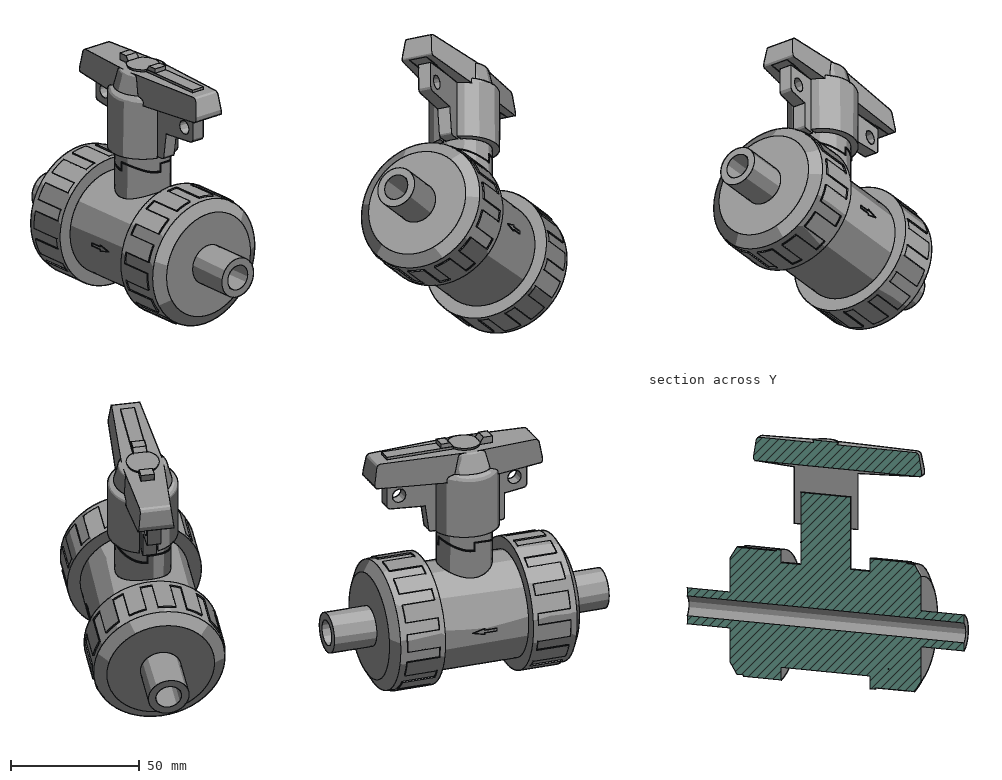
import cadquery as cq
import math


LENGTH = 115.0
HEIGHT = 100.2
PIPE_RADIUS = 8.0
BORE_RADIUS = 5.1
BODY_RADIUS = 42.9 / 2
NUT_RADIUS = 51.9 / 2
NUT_RIM_RADIUS = 53.0 / 2
NUT_FACE_RADIUS = 21.3
NUT_INNER_X = 18.4
SLOT_INNER_X = 20.6
RIM_OUTER_X = 34.2
NUT_CHAMFER_X = 36.9
NUT_OUTER_X = 39.8
GRIP_SLOTS = 14
GRIP_SLOT_ANGLE = 10.3
GRIP_SLOT_PHASE = -7.7

ARROW_RAISE = 0.3
ARROW_HALF_LENGTH = 5.1
ARROW_SHAFT_HALF_WIDTH = 0.6
ARROW_HEAD_HALF_WIDTH = 1.3

STEM_RADIUS = 10.9
STEM_TOP = 50.3
TEETH = 4
TOOTH_HIGH = 33.2
TOOTH_LOW = 29.8
GROOVE_WIDTH = 0.29
GROOVE_DEPTH = 0.3
CUT_CLEARANCE = 1.2

HUB_RADIUS = 13.8
HUB_BOTTOM = 37.3
HUB_SHOULDER_Z = 61.8
HUB_SHOULDER_FILLET = 2.0
CONE_BASE_RADIUS = 11.4
CONE_BASE_Z = 62.8
CONE_TOP_RADIUS = 9.4
CONE_FILLET = 1.4
HUB_SLOT_HALF_WIDTH = 3.7

BAR_TOP = 70.8
BAR_LEFT_TOP_X = -28.8
BAR_RIGHT_TOP_X = 38.6
BAR_END_LEAN = 1.3
BAR_LIP_Z = 63.2
BAR_END_BOTTOM = 61.1
BAR_MIDDLE_BOTTOM = 59.2
BAR_LEFT_HALF_WIDTH = 6.0
BAR_MIDDLE_HALF_WIDTH = 8.2
BAR_RIGHT_HALF_WIDTH = 5.5
BAR_DRAFT = 7.0
BAR_WEDGE_STRETCH = 1.2
BAR_TOP_FILLET = 1.8
BAR_BOTTOM_FILLET = 1.0

PLATE_HALF_WIDTH = 2.6
PLATE_LEFT_X = -25.2
PLATE_RIGHT_X = 33.5
PLATE_LEG_LEFT_X = -15.9
PLATE_LEG_RIGHT_X = 15.8
PLATE_STEP_RIGHT_X = 17.4
PLATE_STEP_Z = 48.4
PLATE_END_Z = 49.7
PLATE_CORNER_FILLET = 1.7
PLATE_LEG_FILLET = 1.2
HOLE_RADIUS = 2.8
HOLE_Z = 54.6
HOLE_INSET = 5.2

TOP_Z = HEIGHT - NUT_RIM_RADIUS
RAISED_Z = 71.9
DISC_TOP_RADIUS = 6.4
DISC_BOTTOM_RADIUS = 6.0
TAB_HALF_WIDTH = 2.6
TAB_FOOT_X = 5.6
TAB_CREST_X = 7.0
TAB_OUTER_X = 10.7
RAIL_HALF_WIDTH = 2.8


def x_cylinder(radius, x_start, x_end):
    return cq.Workplane("YZ").workplane(offset=x_start).circle(radius).extrude(x_end - x_start)


def xz_prism(points, half_width):
    return cq.Workplane("XZ").polyline(points).close().extrude(half_width, both=True)


def fillet_cross_edge(solid, x, z, radius):
    """Round the edge along Y that passes nearest to the given X and Z."""
    nearest = cq.selectors.NearestToPointSelector((x, 0, z))
    return solid.edges("|Y").edges(nearest).fillet(radius)


def left_nut():
    core_outline = [
        (-NUT_OUTER_X, 0),
        (-NUT_OUTER_X, NUT_FACE_RADIUS),
        (-NUT_CHAMFER_X, NUT_RADIUS),
        (-NUT_INNER_X, NUT_RADIUS),
        (-NUT_INNER_X, 0),
    ]
    core = cq.Workplane("XY").polyline(core_outline).close().revolve(360, (0, 0, 0), (1, 0, 0))
    rim = x_cylinder(NUT_RIM_RADIUS, -RIM_OUTER_X, -NUT_INNER_X)
    slot_length = 2 * (RIM_OUTER_X - SLOT_INNER_X)
    slot_width = 2 * NUT_RADIUS * math.sin(math.radians(GRIP_SLOT_ANGLE / 2))
    slot_depth = 2 * (NUT_RIM_RADIUS - NUT_FACE_RADIUS)
    slot = cq.Workplane("XY").box(slot_length, slot_depth, slot_width)
    slot = slot.translate((-RIM_OUTER_X, -NUT_RIM_RADIUS, 0))
    for i in range(GRIP_SLOTS):
        angle = GRIP_SLOT_PHASE + i * 360 / GRIP_SLOTS
        rim = rim.cut(slot.rotate((0, 0, 0), (1, 0, 0), -angle))
    return core.union(rim)


def flow_arrows():
    outline = [
        (-ARROW_HALF_LENGTH, -ARROW_SHAFT_HALF_WIDTH),
        (0, -ARROW_SHAFT_HALF_WIDTH),
        (0, -ARROW_HEAD_HALF_WIDTH),
        (ARROW_HALF_LENGTH, 0),
        (0, ARROW_HEAD_HALF_WIDTH),
        (0, ARROW_SHAFT_HALF_WIDTH),
        (-ARROW_HALF_LENGTH, ARROW_SHAFT_HALF_WIDTH),
    ]
    skin = x_cylinder(BODY_RADIUS + ARROW_RAISE, -NUT_INNER_X, NUT_INNER_X)
    return xz_prism(outline, NUT_RADIUS).intersect(skin)


def parting_groove():
    """One quarter turn: a step on the -Y side, then a curve falling towards +X."""
    half = GROOVE_WIDTH / 2
    drop = TOOTH_HIGH - TOOTH_LOW
    reach = STEM_RADIUS
    arc_radius = (reach ** 2 + drop ** 2) / (2 * drop)
    mid_z = TOOTH_HIGH - arc_radius + math.sqrt(arc_radius ** 2 - (reach / 2) ** 2)
    curve = (
        cq.Workplane("XZ")
        .moveTo(0, TOOTH_HIGH - half)
        .threePointArc((reach / 2, mid_z - half), (reach, TOOTH_LOW - half))
        .lineTo(reach, TOOTH_LOW + half)
        .threePointArc((reach / 2, mid_z + half), (0, TOOTH_HIGH + half))
        .close()
        .extrude(reach)
    )
    step = (
        cq.Workplane("XZ")
        .center(0, (TOOTH_HIGH + TOOTH_LOW) / 2)
        .rect(GROOVE_WIDTH, drop + GROOVE_WIDTH)
        .extrude(reach)
    )
    ring = (
        cq.Workplane("XY")
        .workplane(offset=TOOTH_LOW - CUT_CLEARANCE)
        .circle(STEM_RADIUS + CUT_CLEARANCE)
        .circle(STEM_RADIUS - GROOVE_DEPTH)
        .extrude(drop + 2 * CUT_CLEARANCE)
    )
    return curve.union(step).intersect(ring)


def stem():
    column = cq.Workplane("XY").circle(STEM_RADIUS).extrude(STEM_TOP)
    groove = parting_groove()
    for i in range(TEETH):
        column = column.cut(groove.rotate((0, 0, 0), (0, 0, 1), i * 360 / TEETH))
    return column


def hub():
    outline = [
        (0, HUB_BOTTOM),
        (HUB_RADIUS, HUB_BOTTOM),
        (HUB_RADIUS, HUB_SHOULDER_Z),
        (CONE_BASE_RADIUS, CONE_BASE_Z),
        (CONE_TOP_RADIUS, BAR_TOP),
        (0, BAR_TOP),
    ]
    body = cq.Workplane("XZ").polyline(outline).close().revolve(360, (0, 0, 0), (0, 1, 0))
    body = body.edges("%CIRCLE").edges(">>Z[-3]").fillet(HUB_SHOULDER_FILLET)
    return body.faces(">Z").edges().fillet(CONE_FILLET)


def wedge_end(end_x, end_half_width):
    """Corner on the side line from the bar's middle, carried beyond the bar's end."""
    narrowing = BAR_MIDDLE_HALF_WIDTH - end_half_width
    return end_x * BAR_WEDGE_STRETCH, BAR_MIDDLE_HALF_WIDTH - narrowing * BAR_WEDGE_STRETCH


def bar():
    left_x = BAR_LEFT_TOP_X - BAR_END_LEAN
    right_x = BAR_RIGHT_TOP_X + BAR_END_LEAN
    side_outline = [
        (BAR_LEFT_TOP_X, BAR_TOP),
        (BAR_RIGHT_TOP_X, BAR_TOP),
        (right_x, BAR_LIP_Z),
        (right_x, BAR_END_BOTTOM),
        (0, BAR_MIDDLE_BOTTOM),
        (left_x, BAR_END_BOTTOM),
        (left_x, BAR_LIP_Z),
    ]
    block = xz_prism(side_outline, 2 * BAR_MIDDLE_HALF_WIDTH)
    block = block.edges("|Y and >Z").fillet(BAR_TOP_FILLET)
    for x in (left_x, right_x):
        block = fillet_cross_edge(block, x, BAR_END_BOTTOM, BAR_BOTTOM_FILLET)
    left_end = wedge_end(BAR_LEFT_TOP_X, BAR_LEFT_HALF_WIDTH)
    right_end = wedge_end(BAR_RIGHT_TOP_X, BAR_RIGHT_HALF_WIDTH)
    plan = [
        left_end,
        (0, BAR_MIDDLE_HALF_WIDTH),
        right_end,
        (right_end[0], -right_end[1]),
        (0, -BAR_MIDDLE_HALF_WIDTH),
        (left_end[0], -left_end[1]),
    ]
    wedge = (
        cq.Workplane("XY", origin=(0, 0, BAR_TOP))
        .polyline(plan)
        .close()
        .extrude(BAR_MIDDLE_BOTTOM - BAR_TOP, taper=-BAR_DRAFT)
    )
    return block.intersect(wedge)


def web_plate():
    outline = [
        (PLATE_LEFT_X, BAR_END_BOTTOM),
        (PLATE_LEFT_X, PLATE_END_Z),
        (PLATE_LEG_LEFT_X, PLATE_STEP_Z),
        (PLATE_LEG_LEFT_X, HUB_BOTTOM),
        (PLATE_LEG_RIGHT_X, HUB_BOTTOM),
        (PLATE_STEP_RIGHT_X, PLATE_STEP_Z),
        (PLATE_RIGHT_X, PLATE_END_Z),
        (PLATE_RIGHT_X, BAR_END_BOTTOM),
    ]
    plate = xz_prism(outline, PLATE_HALF_WIDTH)
    plate = plate.edges("|Y and <Z").fillet(PLATE_LEG_FILLET)
    for x in (PLATE_LEFT_X, PLATE_RIGHT_X):
        plate = fillet_cross_edge(plate, x, PLATE_END_Z, PLATE_CORNER_FILLET)
    holes = (
        cq.Workplane("XZ")
        .pushPoints([(PLATE_LEFT_X + HOLE_INSET, HOLE_Z), (PLATE_RIGHT_X - HOLE_INSET, HOLE_Z)])
        .circle(HOLE_RADIUS)
        .extrude(PLATE_HALF_WIDTH, both=True)
    )
    return plate.cut(holes)


def handle():
    """Hub and bar, slotted lengthwise from below, with the web plate standing in the slot."""
    slot_length = 2 * LENGTH
    slot_height = BAR_END_BOTTOM - HUB_BOTTOM
    slot = cq.Workplane("XY").box(slot_length, 2 * HUB_SLOT_HALF_WIDTH, slot_height)
    slot = slot.translate((0, 0, HUB_BOTTOM + slot_height / 2))
    return hub().union(bar()).cut(slot).union(web_plate())


def top_details():
    disc = (
        cq.Workplane("XY", origin=(0, 0, BAR_TOP))
        .circle(DISC_BOTTOM_RADIUS)
        .workplane(offset=RAISED_Z - BAR_TOP)
        .circle(DISC_TOP_RADIUS)
        .loft()
    )
    tab_outline = [
        (TAB_FOOT_X, BAR_TOP),
        (TAB_FOOT_X, RAISED_Z),
        (TAB_CREST_X, TOP_Z),
        (TAB_OUTER_X, TOP_Z),
        (TAB_OUTER_X, BAR_TOP),
    ]
    tab = xz_prism(tab_outline, TAB_HALF_WIDTH)
    rail_outline = [
        (TAB_FOOT_X, BAR_TOP),
        (TAB_FOOT_X, RAISED_Z),
        (PLATE_RIGHT_X, RAISED_Z),
        (PLATE_RIGHT_X, BAR_TOP),
    ]
    rail = xz_prism(rail_outline, RAIL_HALF_WIDTH)
    return disc.union(tab).union(tab.mirror("YZ")).union(rail)


nut = left_nut()
valve = x_cylinder(PIPE_RADIUS, -LENGTH / 2, LENGTH / 2)
valve = valve.union(x_cylinder(BODY_RADIUS, -NUT_INNER_X, NUT_INNER_X))
valve = valve.union(nut).union(nut.rotate((0, 0, 0), (0, 0, 1), 180))
valve = valve.union(flow_arrows()).union(stem()).union(handle()).union(top_details())
result = valve.cut(x_cylinder(BORE_RADIUS, -LENGTH / 2, LENGTH / 2))